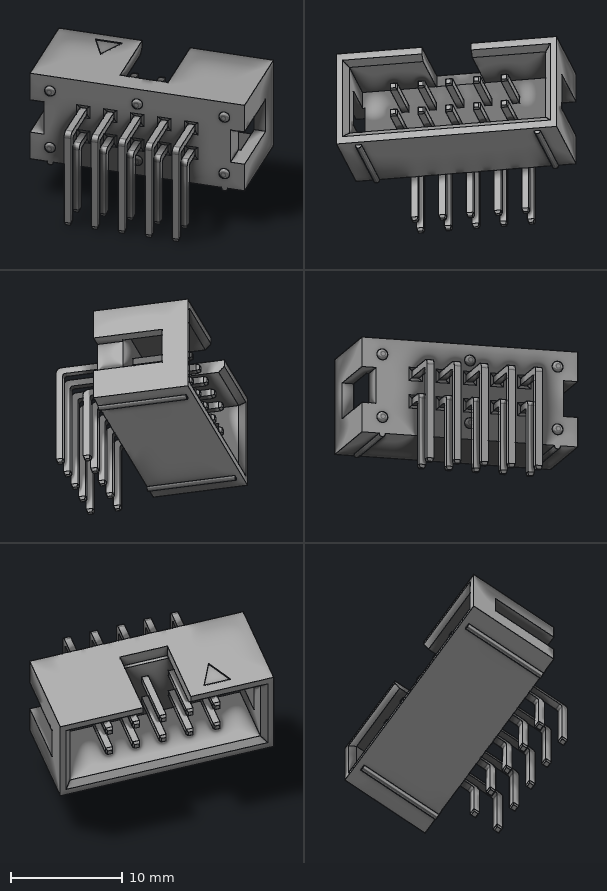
import cadquery as cq


housing_length = 20.2
housing_depth = 8.8
housing_height = 8.8
mid_height = housing_height / 2

side_wall = 1.1
top_wall = 1.2
rear_wall = 2.4
mouth_chamfer = 0.53

window_height = 3.3
window_front_margin = 2.4
rear_notch_depth = 1.32

slot_width = 4.5
slot_length = 6.75

arrow_size = 2.5
arrow_front_margin = 1.0
arrow_depth = 0.1

standoff_spacing = 8.2
standoff_edge_offset = 1.5
standoff_diameter = 1.0
standoff_height = 0.3
standoff_edge_radius = 0.29

rib_width = 0.56
rib_height = 0.3
rib_front_margin = 0.6
rib_edge_radius = 0.25

pitch = 2.54
pin_width = 0.64
pin_front_y = housing_depth - 0.93
pin_bottom_z = -3.5
tip_length = 0.3
tip_inset = 0.1
bend_outer_radius = 0.5
bend_inner_radius = 0.25
pin_rear_y = -4.8
long_leg_y = pin_rear_y + pin_width / 2
short_leg_y = long_leg_y + pitch
columns_each_side = 2
column_positions = [i * pitch for i in range(-columns_each_side, columns_each_side + 1)]
rows = [(mid_height + pitch / 2, long_leg_y), (mid_height - pitch / 2, short_leg_y)]

recess_width = 1.24
recess_depth = 0.11


def box(x_range, y_range, z_range):
    """Axis-aligned block spanning the given ranges."""
    return cq.Workplane("XY").box(
        x_range[1] - x_range[0], y_range[1] - y_range[0], z_range[1] - z_range[0], centered=False
    ).translate((x_range[0], y_range[0], z_range[0]))


def square_frustum(base_size, end_size, length):
    """Square block along +Z, narrowing from base_size to end_size."""
    return (
        cq.Workplane("XY").rect(base_size, base_size)
        .workplane(offset=length).rect(end_size, end_size).loft(ruled=True)
    )


def make_cavity():
    """Mating cavity, open at the front, with a chamfered mouth."""
    half_length = housing_length / 2 - side_wall
    cavity = box((-half_length, half_length), (rear_wall, housing_depth),
                 (top_wall, housing_height - top_wall))
    mouth = (
        cq.Workplane("XZ", origin=(0, housing_depth, mid_height))
        .rect(2 * (half_length + mouth_chamfer), housing_height - 2 * (top_wall - mouth_chamfer))
        .workplane(offset=mouth_chamfer)
        .rect(2 * half_length, housing_height - 2 * top_wall).loft(ruled=True)
    )
    return cavity.union(mouth)


def make_side_openings():
    """Window through each end wall, extended to the rear as a shallower notch."""
    half_length = housing_length / 2
    z_range = (mid_height - window_height / 2, mid_height + window_height / 2)
    front_y = housing_depth - window_front_margin
    left = box((-half_length, -half_length + rear_notch_depth), (0, front_y), z_range)
    return left.union(left.mirror("YZ"))


def make_key_slot():
    """Polarising slot through the top wall, open at the front."""
    return box((-slot_width / 2, slot_width / 2), (housing_depth - slot_length, housing_depth),
               (housing_height - top_wall, housing_height))


def make_arrow():
    """Shallow triangle marking the first pin."""
    base_y = housing_depth - arrow_front_margin
    center_x = column_positions[0]
    return (
        cq.Workplane("XY", origin=(0, 0, housing_height - arrow_depth))
        .polyline([
            (center_x - arrow_size / 2, base_y),
            (center_x + arrow_size / 2, base_y),
            (center_x, base_y - arrow_size),
        ])
        .close().extrude(arrow_depth)
    )


def make_standoffs():
    """Rounded buttons on the rear face."""
    points = [
        (x, z)
        for x in (-standoff_spacing, 0, standoff_spacing)
        for z in (standoff_edge_offset, housing_height - standoff_edge_offset)
    ]
    return (
        cq.Workplane("XZ").pushPoints(points).circle(standoff_diameter / 2)
        .extrude(standoff_height).faces("<Y").edges().fillet(standoff_edge_radius)
    )


def make_ribs():
    """Rounded ribs along the underside, one near each end."""
    rib = box((-rib_width / 2, rib_width / 2), (0, housing_depth - rib_front_margin), (-rib_height, 0))
    rib = rib.faces("<Z").edges("|Y").fillet(rib_edge_radius)
    return rib.translate((-standoff_spacing, 0, 0)).union(rib.translate((standoff_spacing, 0, 0)))


def make_pin_recess(x, z):
    """Pyramid-shaped lead-in around a pin on the rear face."""
    recess = square_frustum(recess_width, pin_width, recess_depth)
    return recess.rotate((0, 0, 0), (1, 0, 0), -90).translate((x, 0, z))


def make_pin(x, row_z, leg_y):
    """Square pin bent down behind the housing, tapered at both ends."""
    half = pin_width / 2
    straight_end_y = pin_front_y - tip_length
    straight_end_z = pin_bottom_z + tip_length
    pin = (
        cq.Workplane("YZ", origin=(x - half, 0, 0))
        .moveTo(straight_end_y, row_z + half)
        .lineTo(leg_y - half, row_z + half)
        .lineTo(leg_y - half, straight_end_z)
        .lineTo(leg_y + half, straight_end_z)
        .lineTo(leg_y + half, row_z - half)
        .lineTo(straight_end_y, row_z - half)
        .close().extrude(pin_width)
    )
    outer_corner = cq.selectors.NearestToPointSelector((x, leg_y - half, row_z + half))
    inner_corner = cq.selectors.NearestToPointSelector((x, leg_y + half, row_z - half))
    pin = pin.edges(outer_corner).fillet(bend_outer_radius)
    pin = pin.edges(inner_corner).fillet(bend_inner_radius)
    tip = square_frustum(pin_width, pin_width - 2 * tip_inset, tip_length)
    front_tip = tip.rotate((0, 0, 0), (1, 0, 0), -90).translate((x, straight_end_y, row_z))
    leg_tip = tip.rotate((0, 0, 0), (1, 0, 0), 180).translate((x, leg_y, straight_end_z))
    return pin.union(front_tip).union(leg_tip)


def make_housing():
    """Shroud with its openings and pin holes; the middle pair of pins is one piece with it."""
    half_length = housing_length / 2
    housing = box((-half_length, half_length), (0, housing_depth), (0, housing_height))
    housing = housing.cut(make_cavity()).cut(make_side_openings())
    housing = housing.cut(make_key_slot()).cut(make_arrow())
    housing = housing.union(make_standoffs()).union(make_ribs())
    for x in column_positions:
        for row_z, leg_y in rows:
            housing = housing.cut(make_pin_recess(x, row_z))
            pin = make_pin(x, row_z, leg_y)
            if x == 0:
                housing = housing.union(pin)
            else:
                housing = housing.cut(pin)
    return housing


housing = make_housing()
pins = [
    make_pin(x, row_z, leg_y)
    for x in column_positions if x != 0
    for row_z, leg_y in rows
]

result = cq.Compound.makeCompound([housing.val(), *[pin.val() for pin in pins]])